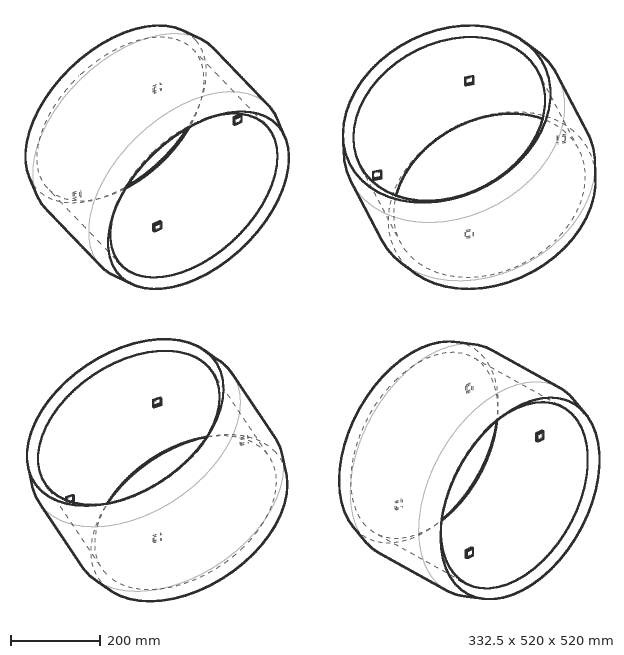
import cadquery as cq

length = 332.5
outer_radius = 260.0
bore_radius = 225.0
rim_radius = 244.0
taper_length = 54.0
bevel_length = rim_radius - bore_radius

lug_count = 4
lug_length = 5.0
lug_width = 18.5
lug_height = 18.0
lug_root = 5.0

half_length = length / 2
half_land = half_length - taper_length
half_bore = half_length - bevel_length


def make_ring():
    """Revolve the wall section about the X axis."""
    return (
        cq.Workplane("XY")
        .polyline([
            (-half_bore, bore_radius),
            (-half_length, rim_radius),
            (-half_land, outer_radius),
            (half_land, outer_radius),
            (half_length, rim_radius),
            (half_bore, bore_radius),
        ])
        .close()
        .revolve(360, (0, 0, 0), (1, 0, 0))
    )


def make_lug(angle):
    """One lug, turned about the X axis from the top of the bore."""
    radial_size = lug_height + lug_root
    center_radius = bore_radius + lug_root - radial_size / 2
    return (
        cq.Workplane("XY")
        .box(lug_length, lug_width, radial_size)
        .translate((0, 0, center_radius))
        .rotate((0, 0, 0), (1, 0, 0), angle)
    )


result = make_ring()
for index in range(lug_count):
    result = result.union(make_lug(index * 360 / lug_count))